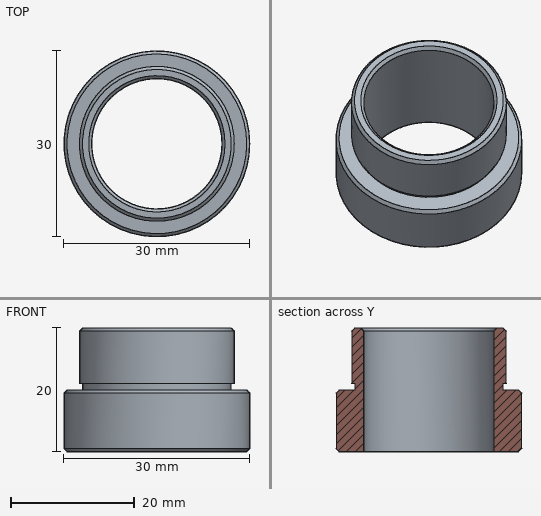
import cadquery as cq

collar_diameter = 30.0
collar_height = 10.0
spigot_diameter = 25.0
total_height = 20.0
bore_diameter = 21.0
relief_depth = 0.5
relief_width = 1.0
edge_chamfer = 0.5

spigot_height = total_height - collar_height
relief_diameter = spigot_diameter - 2 * relief_depth


def make_collar():
    """Wide base ring, chamfered on both outer edges."""
    collar = cq.Workplane("XY").circle(collar_diameter / 2).extrude(collar_height)
    return collar.faces("<Z or >Z").edges().chamfer(edge_chamfer)


def make_spigot():
    """Narrow upper ring with a chamfered top edge and an undercut at its root."""
    root = (
        cq.Workplane("XY")
        .workplane(offset=collar_height)
        .circle(relief_diameter / 2)
        .extrude(relief_width)
    )
    barrel = (
        cq.Workplane("XY")
        .workplane(offset=collar_height + relief_width)
        .circle(spigot_diameter / 2)
        .extrude(spigot_height - relief_width)
        .faces(">Z")
        .edges()
        .chamfer(edge_chamfer)
    )
    return root.union(barrel)


def cut_bore(body):
    """Through bore with a chamfered upper mouth."""
    bore = cq.Workplane("XY").circle(bore_diameter / 2).extrude(total_height)
    mouth_edge = cq.selectors.RadiusNthSelector(0)
    return body.cut(bore).faces(">Z").edges(mouth_edge).chamfer(edge_chamfer)


result = cut_bore(make_collar().union(make_spigot()))